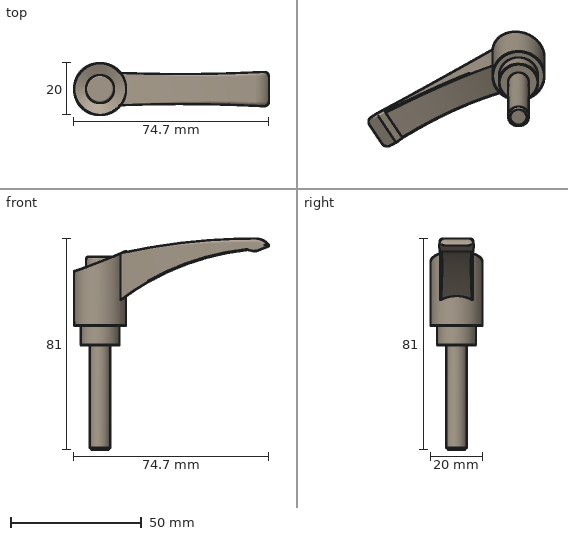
import cadquery as cq
import math


stud_diameter = 8
stud_length = 40
stud_chamfer = 0.9
collar_diameter = 15
collar_height = 7.5
hub_diameter = 20
hub_radius = hub_diameter / 2
hub_blank_top = 45
edge_chamfer = 0.25
button_diameter = 10.8
button_top = 34
button_fillet = 1

dish_apex_z = 27.5
dish_flank_angle = 23
dish_tilt = 18
dish_cone_height = 30

root_x = 4
tip_x = 64.73
tip_z = 38
tip_land = 0.3
arm_top_z = 40.97
top_start = (root_x, 34.4)
top_middle = (25.2, 38.5)
top_end = (59.8, arm_top_z)
nose_middle = (62.6, 40.2)
nose_end = (tip_x, tip_z + tip_land)
tip = (tip_x, tip_z)
heel = (59.5, 35.9)
neck = (56.5, 36.5)
under_middle = (30.8, 30.2)
under_start = (root_x, 14.2)

root_half_width = 6.4
waist_x = 34
waist_half_width = 5.8
end_half_width = 6.75

arm_corner_radius = 2
top_fillet_root = 0.5
top_fillet_nose = 1.45
under_fillet = 0.4
edge_match_tolerance = 0.1


def make_stud():
    stud = cq.Workplane("XY").circle(stud_diameter / 2).extrude(-stud_length)
    return stud.faces("<Z").chamfer(stud_chamfer)


def make_collar():
    collar = cq.Workplane("XY").circle(collar_diameter / 2).extrude(collar_height)
    return collar.faces("<Z").chamfer(edge_chamfer)


def make_hub():
    hub = cq.Workplane("XY").workplane(offset=collar_height).circle(hub_radius)
    hub = hub.extrude(hub_blank_top - collar_height)
    return hub.faces("<Z").chamfer(edge_chamfer)


def make_button():
    button = cq.Workplane("XY").circle(button_diameter / 2).extrude(button_top)
    return button.faces(">Z").edges().fillet(button_fillet)


def make_dish_cutter():
    """Tilted cone, limited to the hub cylinder so that it leaves the arm whole."""
    cone_radius = dish_cone_height / math.tan(math.radians(dish_flank_angle))
    cone = (
        cq.Workplane("XZ")
        .polyline([(0, 0), (cone_radius, dish_cone_height), (0, dish_cone_height)])
        .close()
        .revolve(360, (0, 0, 0), (0, 1, 0))
        .rotate((0, 0, 0), (0, 1, 0), -dish_tilt)
        .translate((0, 0, dish_apex_z))
    )
    limit = cq.Workplane("XY").circle(hub_radius).extrude(hub_blank_top)
    return cone.intersect(limit)


def make_arm_side():
    """Curved side profile of the arm, wider than the arm itself."""
    return (
        cq.Workplane("XZ")
        .moveTo(*top_start)
        .threePointArc(top_middle, top_end)
        .threePointArc(nose_middle, nose_end)
        .lineTo(*tip)
        .lineTo(*heel)
        .lineTo(*neck)
        .threePointArc(under_middle, under_start)
        .close()
        .extrude(hub_radius, both=True)
    )


def make_arm_plan():
    """Waisted plan outline of the arm, taller than the arm itself."""
    return (
        cq.Workplane("XY")
        .moveTo(root_x, -root_half_width)
        .threePointArc((waist_x, -waist_half_width), (tip_x, -end_half_width))
        .lineTo(tip_x, end_half_width)
        .threePointArc((waist_x, waist_half_width), (root_x, root_half_width))
        .close()
        .extrude(hub_blank_top)
    )


def round_arm_top(arm):
    """Round the long top edges with a growing radius and the nose edges with a constant one."""
    solid = arm.val().Solids()[0]
    rounding = cq.occ_impl.shapes.BRepFilletAPI_MakeFillet(solid.wrapped)
    nose_x = top_end[0]
    for edge in solid.Edges():
        box = edge.BoundingBox()
        is_curved = edge.geomType() == "BSPLINE"
        is_nose_edge = is_curved and abs(box.xmax - tip_x) < edge_match_tolerance
        is_top_edge = is_curved and abs(box.xmax - nose_x) < edge_match_tolerance
        if is_nose_edge:
            rounding.Add(top_fillet_nose, edge.wrapped)
        elif is_top_edge and edge.startPoint().x < waist_x:
            rounding.Add(top_fillet_root, top_fillet_nose, edge.wrapped)
        elif is_top_edge:
            rounding.Add(top_fillet_nose, top_fillet_root, edge.wrapped)
    return cq.Workplane(cq.Shape.cast(rounding.Shape()))


def is_under_edge(edge):
    """True for the edges of the curved underside and of the two flats below the nose."""
    height_above_root = edge.BoundingBox().zmin - under_start[1]
    reaches_root = abs(height_above_root) < edge_match_tolerance
    is_long_curve = edge.geomType() == "BSPLINE" and reaches_root
    return is_long_curve or edge.geomType() == "ELLIPSE"


def make_arm():
    plan = make_arm_plan()
    arm = round_arm_top(make_arm_side().intersect(plan))
    arm = arm.intersect(plan.edges("|Z and >X").fillet(arm_corner_radius))
    under_edges = arm.edges().filter(is_under_edge).vals()
    return cq.Workplane(arm.val().Solids()[0].fillet(under_fillet, under_edges))


lever = make_hub().union(make_arm()).cut(make_dish_cutter())
lever = lever.union(make_collar()).union(make_stud()).union(make_button())
result = lever.solids()